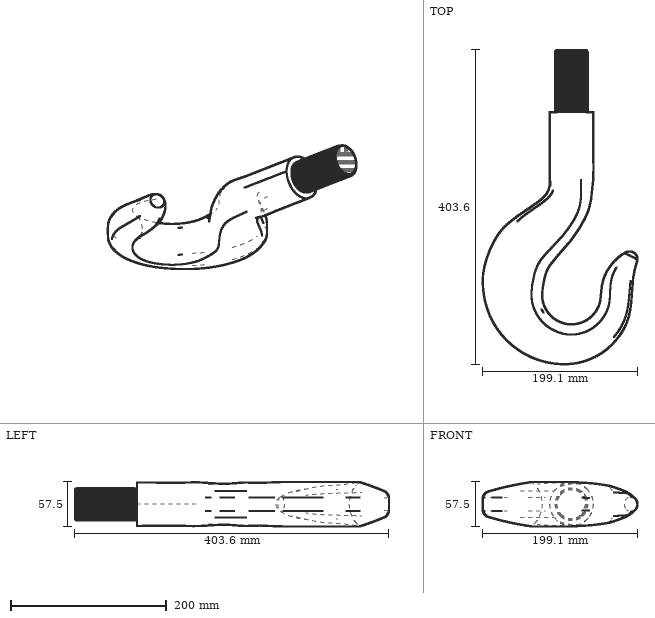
import cadquery as cq
import math


SHANK_RADIUS = 28.0
SHANK_START = 148.0
SHANK_END = 235.1
SHANK_STEP = (SHANK_END - SHANK_START) / 3
THREAD_TURNS = 26
THREAD_RADIUS = 21.0
THREAD_PITCH = 3.0
THREAD_DEPTH = 1.84
THREAD_CREST = 0.4
THREAD_ROOT = 0.5
FLANK_STEPS = 6
THREAD_RELIEF = 1.5
THREAD_CHAMFER = 2.0
ENVELOPE_GAP = 0.2

SEAT_RADIUS = 37.5
NECK_INNER_RADIUS = 120.0
THROAT_RADIUS = 77.7
NECK_OUTER_RADIUS = 39.0
BACK_RADIUS = 105.0
BACK_CENTER = (-9.0, 16.0)
BELLY_RADIUS = 86.5
TIP_INNER_RADIUS = 63.0
TIP_OUTER_RADIUS = 160.0
TIP_CAP_HEIGHT = 6.0

FLAT_RATIO = 0.30
CORNER_RATIO = 0.61
ROUND_INNER_ANGLE = math.radians(64)
INNER_SPLIT = 0.6
ARC_STEPS = 4
SEWING_TOLERANCE = 0.001

NECK_INNER_CENTER = (SHANK_RADIUS - NECK_INNER_RADIUS, SHANK_START)
NECK_OUTER_CENTER = (-SHANK_RADIUS - NECK_OUTER_RADIUS, SHANK_START)
THROAT_CENTER = (THROAT_RADIUS - SEAT_RADIUS, 0.0)
BELLY_CENTER = (BACK_CENTER[0], BACK_CENTER[1] - BACK_RADIUS + BELLY_RADIUS)
TIP_INNER_CENTER = (SEAT_RADIUS + TIP_INNER_RADIUS, 0.0)
TIP_OUTER_CENTER = (BELLY_CENTER[0] + BELLY_RADIUS + TIP_OUTER_RADIUS, BELLY_CENTER[1])


def on_arc(center, radius, degrees):
    """Point of a plan arc at the given angle."""
    angle = math.radians(degrees)
    return (center[0] + radius * math.cos(angle), center[1] + radius * math.sin(angle))


def neck_inner(degrees):
    return on_arc(NECK_INNER_CENTER, NECK_INNER_RADIUS, degrees)


def throat(degrees):
    return on_arc(THROAT_CENTER, THROAT_RADIUS, degrees)


def seat(degrees):
    return on_arc((0.0, 0.0), SEAT_RADIUS, degrees)


def tip_inner(degrees):
    return on_arc(TIP_INNER_CENTER, TIP_INNER_RADIUS, degrees)


def neck_outer(degrees):
    return on_arc(NECK_OUTER_CENTER, NECK_OUTER_RADIUS, degrees)


def back(degrees):
    return on_arc(BACK_CENTER, BACK_RADIUS, degrees)


def belly(degrees):
    return on_arc(BELLY_CENTER, BELLY_RADIUS, degrees)


def tip_outer(degrees):
    return on_arc(TIP_OUTER_CENTER, TIP_OUTER_RADIUS, degrees)


def shape(flat_height, corner_height, corner_depth, inner_height, inner_depth, side_radius, corner_radius):
    """Cross-section sizes: half heights, depths from the nearest edge, and radii of the arcs."""
    return {
        "flat_height": flat_height,
        "corner_height": corner_height,
        "corner_depth": corner_depth,
        "inner_height": inner_height,
        "inner_depth": inner_depth,
        "side_curvature": 1 / side_radius,
        "corner_curvature": 1 / corner_radius,
    }


def round_shape(radius):
    """Cross-section sizes that make a full circle."""
    return shape(
        flat_height=FLAT_RATIO * radius,
        corner_height=CORNER_RATIO * radius,
        corner_depth=radius * (1 - math.sqrt(1 - CORNER_RATIO**2)),
        inner_height=radius * math.sin(ROUND_INNER_ANGLE),
        inner_depth=radius * (1 - math.cos(ROUND_INNER_ANGLE)),
        side_radius=radius,
        corner_radius=radius,
    )


def blend(first, second, share):
    """Mix of two cross-section shapes; share 0 is the first, 1 the second."""
    return {key: first[key] + share * (second[key] - first[key]) for key in first}


def sagitta(chord, curvature):
    """Height of an arc above its chord."""
    return chord**2 * curvature / (4 * (1 + math.sqrt(1 - (chord * curvature / 2) ** 2)))


def arc_points(start, end, curvature):
    """Evenly spaced (depth, height) points of an arc that bulges to the left of its run."""
    run = end[0] - start[0]
    rise = end[1] - start[1]
    chord = math.hypot(run, rise)
    heading = math.atan2(rise, run)
    half_angle = math.asin(chord * curvature / 2)
    points = []
    for step in range(ARC_STEPS + 1):
        share = step / ARC_STEPS
        reach = chord * math.sin(half_angle * share) / math.sin(half_angle)
        direction = heading + half_angle * (1 - share)
        points.append((start[0] + reach * math.cos(direction), start[1] + reach * math.sin(direction)))
    return points


def section(outer, inner, sizes):
    """Upper half of a cross-section, from its outer to its inner edge, as points on five arcs."""
    width = math.dist(outer, inner)
    direction = ((inner[0] - outer[0]) / width, (inner[1] - outer[1]) / width)

    def place(depth, height):
        return cq.Vector(outer[0] + depth * direction[0], outer[1] + depth * direction[1], height)

    side = sizes["side_curvature"]
    inner_depth = sizes["inner_depth"]
    inner_radius = (inner_depth**2 + sizes["inner_height"] ** 2) / (2 * inner_depth)
    split_angle = INNER_SPLIT * math.acos(1 - inner_depth / inner_radius)
    split_depth = width - inner_radius * (1 - math.cos(split_angle))
    ends = [
        (0.0, 0.0),
        (sagitta(2 * sizes["flat_height"], side), sizes["flat_height"]),
        (sizes["corner_depth"], sizes["corner_height"]),
        (width - inner_depth, sizes["inner_height"]),
        (split_depth, inner_radius * math.sin(split_angle)),
        (width, 0.0),
    ]
    curvatures = [side, sizes["corner_curvature"], side, 1 / inner_radius, 1 / inner_radius]
    return [
        [place(*point) for point in arc_points(start, end, curvature)]
        for start, end, curvature in zip(ends, ends[1:], curvatures)
    ]


SHANK = round_shape(SHANK_RADIUS)
NECK = shape(8.5, 17.0, 6.0, 26.5, 12.5, 90.0, 16.0)
BACK = shape(8.5, 17.0, 9.0, 28.7, 14.0, 400.0, 11.0)
BOTTOM = shape(8.5, 17.0, 6.5, 28.7, 13.5, 400.0, 11.0)
LIMB = shape(7.0, 13.5, 3.5, 23.0, 12.0, 80.0, 12.0)

TIP_OUTER_END = tip_outer(162.5)
TIP_INNER_END = tip_inner(121.0)
TIP_RADIUS = math.dist(TIP_OUTER_END, TIP_INNER_END) / 2
TIP = round_shape(TIP_RADIUS)

STATIONS = [
    *[
        ((-SHANK_RADIUS, y), (SHANK_RADIUS, y), SHANK)
        for y in (SHANK_END, SHANK_END - SHANK_STEP, SHANK_START + SHANK_STEP, SHANK_START)
    ],
    (neck_outer(-28), neck_inner(-13), blend(SHANK, NECK, 0.8)),
    (back(120), neck_inner(-26), NECK),
    (back(133), neck_inner(-40), blend(NECK, BACK, 0.5)),
    (back(150), throat(150), BACK),
    (back(168), throat(165), BACK),
    (back(186), seat(182), BACK),
    (back(203), seat(203), BACK),
    (back(221), seat(223), BACK),
    (back(238), seat(240), blend(BACK, BOTTOM, 0.5)),
    (back(254), seat(255), BOTTOM),
    (back(270), seat(270), BOTTOM),
    (belly(290), seat(290), blend(BOTTOM, LIMB, 0.15)),
    (belly(308), seat(308), blend(BOTTOM, LIMB, 0.35)),
    (belly(325), seat(325), blend(BOTTOM, LIMB, 0.6)),
    (belly(343), seat(343), blend(BOTTOM, LIMB, 0.8)),
    (belly(360), seat(360), LIMB),
    (tip_outer(172), tip_inner(158), blend(LIMB, TIP, 0.33)),
    (tip_outer(167), tip_inner(138), blend(LIMB, TIP, 0.67)),
    (TIP_OUTER_END, TIP_INNER_END, TIP),
]


def midpoint(outer, inner):
    return cq.Vector((outer[0] + inner[0]) / 2, (outer[1] + inner[1]) / 2, 0)


def end_face(strips, center):
    """Flat face that closes the strips at the end of the body nearest to a point."""
    edges = [
        min(strip.Edges(), key=lambda edge: (edge.Center() - center).Length) for strip in strips
    ]
    return cq.Face.makeFromWires(cq.Wire.assembleEdges(edges))


def hook_body():
    """Skin of lengthwise strips, each lofted across smooth rails, closed by a flat at each end."""
    middles = [midpoint(outer, inner) for outer, inner, _ in STATIONS]
    travel = [0.0]
    for start, end in zip(middles, middles[1:]):
        travel.append(travel[-1] + (end - start).Length)
    sections = [section(*station) for station in STATIONS]

    upper = []
    for arcs in zip(*sections):
        rails = [
            cq.Wire.assembleEdges([cq.Edge.makeSpline(list(points), parameters=travel)])
            for points in zip(*arcs)
        ]
        upper += cq.occ_impl.shapes.loft(rails, cap=False, compat=False).Faces()
    strips = upper + [strip.mirror("XY") for strip in upper]
    ends = [end_face(strips, middles[0]), end_face(strips, middles[-1])]
    skin = cq.occ_impl.shapes.shell(*strips, *ends, tol=SEWING_TOLERANCE)
    return cq.Workplane(cq.Solid.makeSolid(skin))


def tip_cap():
    """Shallow dome that closes the end of the tip."""
    center = midpoint(TIP_OUTER_END, TIP_INNER_END)
    across = (cq.Vector(*TIP_OUTER_END) - center).normalized()
    plane = cq.Plane(origin=center, xDir=across, normal=(0, 0, 1))
    half_angle = math.atan(TIP_CAP_HEIGHT / TIP_RADIUS)
    cap_radius = TIP_RADIUS / math.sin(2 * half_angle)
    middle = (
        cap_radius * math.sin(half_angle),
        TIP_CAP_HEIGHT - cap_radius * (1 - math.cos(half_angle)),
    )
    return (
        cq.Workplane(plane)
        .lineTo(TIP_RADIUS, 0)
        .threePointArc(middle, (0, TIP_CAP_HEIGHT))
        .close()
        .revolve(360, (0, 0), (0, 1))
    )


def thread_profile():
    """Slice across a single-start thread: crest arc, falling flank, root arc, rising flank."""
    root_radius = THREAD_RADIUS - THREAD_DEPTH
    crest_half = math.pi * THREAD_CREST / THREAD_PITCH
    root_half = math.pi * THREAD_ROOT / THREAD_PITCH
    flank_sweep = math.pi - crest_half - root_half

    def polar(radius, angle):
        return (radius * math.cos(angle), radius * math.sin(angle))

    def flank(share):
        return polar(THREAD_RADIUS - share * THREAD_DEPTH, crest_half + share * flank_sweep)

    falling = [flank(step / FLANK_STEPS) for step in range(1, FLANK_STEPS + 1)]
    rising = [(x, -y) for x, y in falling[-2::-1]]
    crest_start = polar(THREAD_RADIUS, -crest_half)
    return (
        cq.Workplane("XY")
        .moveTo(*crest_start)
        .threePointArc((THREAD_RADIUS, 0), polar(THREAD_RADIUS, crest_half))
        .spline(falling, includeCurrent=True)
        .threePointArc((-root_radius, 0), polar(root_radius, -math.pi + root_half))
        .spline(rising + [crest_start], includeCurrent=True)
        .close()
    )


def first_turn():
    """Bottom turn of the thread on a plain relief that reaches the shank."""
    relief = cq.Workplane("XY").circle(THREAD_RADIUS - THREAD_DEPTH).extrude(-THREAD_RELIEF)
    return relief.union(thread_profile().twistExtrude(THREAD_PITCH, 360))


def last_turn():
    """Top turn of the thread with the chamfered free end."""
    envelope = (
        cq.Workplane("XY")
        .circle(THREAD_RADIUS + ENVELOPE_GAP)
        .extrude(THREAD_PITCH)
        .faces(">Z")
        .chamfer(THREAD_CHAMFER)
    )
    return thread_profile().twistExtrude(THREAD_PITCH, 360).intersect(envelope)


def along_shank(thread_part, start):
    """Lay a part built along Z on the shank axis, start above the shank's end."""
    return thread_part.rotate((0, 0, 0), (1, 0, 0), -90).translate((0, SHANK_END + start, 0))


def hook():
    """Body, cap and first turn joined, then sewn to the faces of the other turns."""
    middle_count = THREAD_TURNS - 2
    middle_length = middle_count * THREAD_PITCH
    middle_start = THREAD_RELIEF + THREAD_PITCH
    middle = thread_profile().twistExtrude(middle_length, 360 * middle_count)
    lower_part = hook_body().union(tip_cap()).union(along_shank(first_turn(), THREAD_RELIEF))
    faces = (
        lower_part.faces("not >Y").vals()
        + along_shank(middle, middle_start).faces("not (>Y or <Y)").vals()
        + along_shank(last_turn(), middle_start + middle_length).faces("not <Y").vals()
    )
    return cq.Workplane(cq.Solid.makeSolid(cq.Shell.makeShell(faces)))


result = hook()